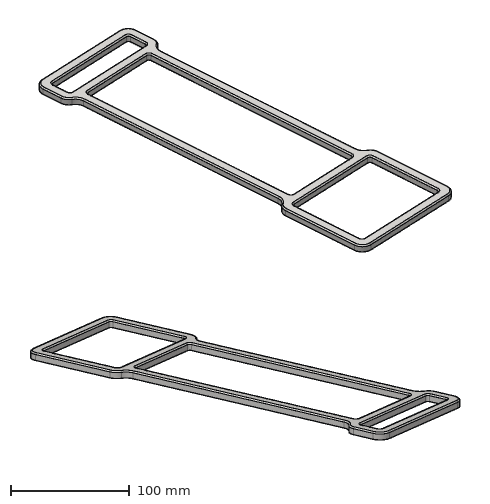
import cadquery as cq
import math

length = 371.5
head_width = 117.7
neck_width = 98.8
thickness = 6.5

rail = 10.0
slot_length = 21.5
end_window_length = 78.7

corner_radius = 10.0
window_corner_radius = 2.5
top_chamfer = 1.3

shoulder_radius = 10.0
left_shoulder_center = 38.5
right_shoulder_center = 275.0

half_head = head_width / 2
half_neck = neck_width / 2
shoulder_angle = math.acos(1 - (half_head - half_neck) / (2 * shoulder_radius))
shoulder_half_length = shoulder_radius * math.sin(shoulder_angle)
shoulder_mid_y = (half_head + half_neck) / 2
arc_mid_run = shoulder_radius * math.sin(shoulder_angle / 2)
arc_mid_drop = shoulder_radius * (1 - math.cos(shoulder_angle / 2))

slot_start = rail
neck_window_start = slot_start + slot_length + rail
end_window_start = length - rail - end_window_length
neck_window_length = end_window_start - rail - neck_window_start
head_window_width = head_width - 2 * rail
neck_window_width = neck_width - 2 * rail


def add_shoulder(outline, center_x, direction):
    """Draw one S-shaped step; direction is +1 if the head lies on the +X side, else -1."""
    neck_x = center_x - direction * shoulder_half_length
    head_x = center_x + direction * shoulder_half_length
    neck_end = (neck_x, half_neck)
    neck_arc_mid = (neck_x + direction * arc_mid_run, half_neck + arc_mid_drop)
    middle = (center_x, shoulder_mid_y)
    head_arc_mid = (head_x - direction * arc_mid_run, half_head - arc_mid_drop)
    head_end = (head_x, half_head)
    points = [neck_end, neck_arc_mid, middle, head_arc_mid, head_end]
    if direction < 0:
        points.reverse()
    start, first_mid, inflection, second_mid, end = points
    outline = outline.lineTo(*start)
    return outline.threePointArc(first_mid, inflection).threePointArc(second_mid, end)


def make_plate():
    """Solid plate: two wide heads joined by a narrower neck, symmetric about the X axis."""
    outline = cq.Workplane("XY").lineTo(0, half_head - corner_radius)
    outline = outline.radiusArc((corner_radius, half_head), corner_radius)
    outline = add_shoulder(outline, left_shoulder_center, -1)
    outline = add_shoulder(outline, right_shoulder_center, 1)
    outline = outline.lineTo(length - corner_radius, half_head)
    outline = outline.radiusArc((length, half_head - corner_radius), corner_radius)
    return outline.lineTo(length, 0).mirrorX().extrude(thickness)


def make_window(start_x, window_length, window_width):
    """Cutter for a through window with rounded corners."""
    window = cq.Workplane("XY").box(window_length, window_width, thickness, centered=(False, True, False))
    return window.edges("|Z").fillet(window_corner_radius).translate((start_x, 0, 0))


frame = make_plate()
frame = frame.cut(make_window(slot_start, slot_length, head_window_width))
frame = frame.cut(make_window(neck_window_start, neck_window_length, neck_window_width))
frame = frame.cut(make_window(end_window_start, end_window_length, head_window_width))

result = frame.faces(">Z").chamfer(top_chamfer)